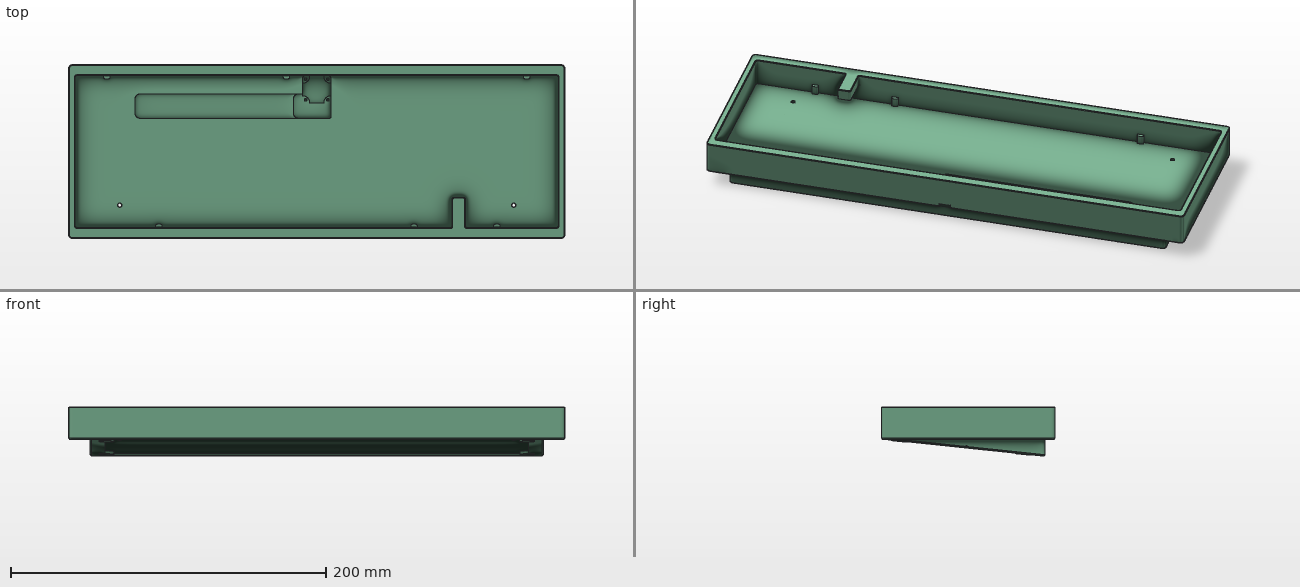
import cadquery as cq
import math

length = 314.8
width = 110.2
total_height = 31.2
tray_height = 20.8
cavity_length = 306.5
cavity_width = 96.5
floor_top = 3.0
corner_radius = 2.5
cavity_corner_radius = 1.5
top_chamfer = 0.47
bottom_chamfer = 1.0

end_wall = (length - cavity_length) / 2
side_wall = (width - cavity_width) / 2
cavity_edge_y = cavity_width / 2

stand_tilt = 6.0
stand_chamfer = 1.0
stand_length = 287.7
stand_back_y = 48.8
stand_corner_radius = 2.2
stand_depth = total_height - tray_height + stand_chamfer * math.sin(math.radians(stand_tilt))
stand_run = stand_depth / math.tan(math.radians(stand_tilt))
stand_front_y = stand_back_y - stand_run

relief_length = 268.8
relief_depth = 1.5
relief_back_margin = 3.0
foot_diameter = 9.5
foot_x = 133.5
foot_front_inset = 7.0
foot_back_inset = 14.2
foot_height = 0.3

ledge_width = 4.0
ledge_depth = 2.2
ledge_height = 5.7
ledge_radius = 1.0
back_ledges_x = [-133.0, -19.2, 133.0]
front_ledges_x = [-100.0, 61.7, 114.3]

tab_x = 90.0
tab_width = 8.5
tab_reach = 19.2
tab_thickness = 7.0
tab_radius = 1.3
tab_root_radius = 1.0

pocket_width = 18.0
pocket_half_width = pocket_width / 2
pocket_front_y = 21.0
pocket_depth = 5.0
pocket_radius = 2.0
pocket_front_radius = 1.0
board_front_y = 31.0
board_back_y = 47.8
board_depth = 6.5
pad_diameter = 8.2
pad_hole_diameter = 1.6
pad_hole_depth = 3.0
pad_inset = 0.3
pad_hole_inset = 2.0
channel_back_y = 36.5
channel_start_x = -115.2
channel_step_x = -14.8
channel_depth = 3.0
channel_radius = 3.0
port_width = 7.5
port_bottom = -1.0
port_top = 2.5

screw_diameter = 2.5
screw_x = 125.0
screw_y = -34.0


def block(x0, x1, y0, y1, z0, z1):
    """Box between two opposite corners."""
    return cq.Workplane("XY").box(x1 - x0, y1 - y0, z1 - z0, centered=False).translate((x0, y0, z0))


def make_tray():
    """Solid outer block of the tray."""
    tray = cq.Workplane("XY").box(length, width, tray_height, centered=(True, True, False))
    tray = tray.edges("|Z").fillet(corner_radius)
    return tray.faces(">Z").chamfer(top_chamfer).faces("<Z").chamfer(bottom_chamfer)


def make_tab():
    """Tab reaching in from the front wall, flush with the rim and clear of the floor."""
    tab_left = tab_x - tab_width / 2
    tab = block(tab_left, tab_left + tab_width, -cavity_edge_y, tab_reach - cavity_edge_y,
                tray_height - tab_thickness, tray_height)
    return tab.edges("|Z and >Y").fillet(tab_radius)


def make_cavity():
    """Space inside the walls, shaped around the overhanging tab."""
    cavity = cq.Workplane("XY").workplane(offset=floor_top).rect(cavity_length, cavity_width)
    cavity = cavity.extrude(tray_height - floor_top).edges("|Z").fillet(cavity_corner_radius)
    cavity = cavity.cut(make_tab())
    root_zone = cq.selectors.BoxSelector(
        (tab_x - tab_width, -cavity_edge_y - tab_root_radius, tray_height - tab_thickness),
        (tab_x + tab_width, -cavity_edge_y + tab_root_radius, tray_height),
    )
    return cavity.edges("|Z").edges(root_zone).fillet(tab_root_radius)


def make_stand():
    """Wedge that is deepest at the back; its top is buried in the tray floor."""
    profile = [
        (stand_front_y, 0),
        (stand_back_y, -stand_depth),
        (stand_back_y, floor_top / 2),
        (stand_front_y, floor_top / 2),
    ]
    stand = cq.Workplane("YZ").polyline(profile).close().extrude(stand_length / 2, both=True)
    stand = stand.edges("|Z and >Y").fillet(stand_corner_radius)
    return stand.faces("<Z").edges("not <Y").chamfer(stand_chamfer)


def shape_underside(stand):
    """Cut a shallow relief parallel to the slope, then add the four foot pads."""
    tilt = math.radians(stand_tilt)
    slope_length = stand_run / math.cos(tilt)
    slope = cq.Workplane(cq.Plane(
        origin=(0, stand_front_y, 0),
        xDir=(1, 0, 0),
        normal=(0, math.sin(tilt), math.cos(tilt)),
    ))
    relief_run = slope_length - relief_back_margin
    relief = slope.center(0, relief_run / 2).rect(relief_length, relief_run).extrude(relief_depth)
    foot_centers = [
        (x, y)
        for x in (-foot_x, foot_x)
        for y in (foot_front_inset, slope_length - foot_back_inset)
    ]
    feet = (slope.workplane(offset=-foot_height).pushPoints(foot_centers)
            .circle(foot_diameter / 2).extrude(foot_height + relief_depth))
    return stand.cut(relief).union(feet)


def make_ledge(x, wall_side):
    """Small ledge on the back (+1) or front (-1) wall."""
    wall_y = wall_side * cavity_edge_y
    free_y = wall_y - wall_side * ledge_depth
    ledge = block(x - ledge_width / 2, x + ledge_width / 2, min(wall_y, free_y), max(wall_y, free_y),
                  floor_top, floor_top + ledge_height)
    return ledge.edges("|Z").edges("<Y" if wall_side > 0 else ">Y").fillet(ledge_radius)


def board_corners(inset):
    """Four points set in from the corners of the board seat."""
    x = pocket_half_width - inset
    return [(-x, board_front_y + inset), (x, board_front_y + inset),
            (-x, board_back_y - inset), (x, board_back_y - inset)]


def make_pocket():
    """Connector pocket, its lowered board seat with corner pads, and the port through the back wall."""
    pocket = block(-pocket_half_width, pocket_half_width, pocket_front_y, cavity_edge_y,
                   floor_top - pocket_depth, floor_top)
    pocket = pocket.edges("|Z and >Y").fillet(pocket_radius)
    pocket = pocket.edges("|Z and <Y and >X").fillet(pocket_front_radius)
    step = block(channel_step_x, 0, pocket_front_y, channel_back_y, floor_top - pocket_depth, floor_top)
    pocket = pocket.union(step.edges("|Z and <X").fillet(channel_radius))

    board_floor = floor_top - board_depth
    board = block(-pocket_half_width, pocket_half_width, board_front_y, cavity_edge_y,
                  board_floor, floor_top - pocket_depth)
    pads = (cq.Workplane("XY").workplane(offset=board_floor).pushPoints(board_corners(pad_inset))
            .circle(pad_diameter / 2).extrude(board_depth))
    pocket = pocket.union(board.cut(pads))
    pad_holes = (cq.Workplane("XY").workplane(offset=floor_top - pocket_depth)
                 .pushPoints(board_corners(pad_hole_inset))
                 .circle(pad_hole_diameter / 2).extrude(-pad_hole_depth))
    port = block(-port_width / 2, port_width / 2, cavity_edge_y - pad_diameter / 2, width / 2,
                 port_bottom, port_top)
    return pocket.union(pad_holes).union(port)


def make_channel():
    """Cable channel running left from the connector pocket."""
    channel = block(channel_start_x, 0, pocket_front_y, channel_back_y,
                    floor_top - channel_depth, floor_top)
    return channel.edges("|Z and <X").fillet(channel_radius)


def make_screw_holes():
    """Two holes right through the floor and the stand."""
    return (cq.Workplane("XY").workplane(offset=-stand_depth)
            .pushPoints([(-screw_x, screw_y), (screw_x, screw_y)])
            .circle(screw_diameter / 2).extrude(stand_depth + floor_top))


def chamfer_inner_rim(body):
    """Break the edge where the cavity and tab meet the top face."""
    half_x = (cavity_length + end_wall) / 2
    half_y = (cavity_width + side_wall) / 2
    inner_rim = cq.selectors.BoxSelector(
        (-half_x, -half_y, floor_top),
        (half_x, half_y, tray_height + top_chamfer),
    )
    return body.faces(">Z").edges(inner_rim).chamfer(top_chamfer)


body = chamfer_inner_rim(make_tray().cut(make_cavity()))
body = body.union(shape_underside(make_stand()))
for ledge_x in back_ledges_x:
    body = body.union(make_ledge(ledge_x, 1))
for ledge_x in front_ledges_x:
    body = body.union(make_ledge(ledge_x, -1))
result = body.cut(make_pocket()).cut(make_channel()).cut(make_screw_holes())